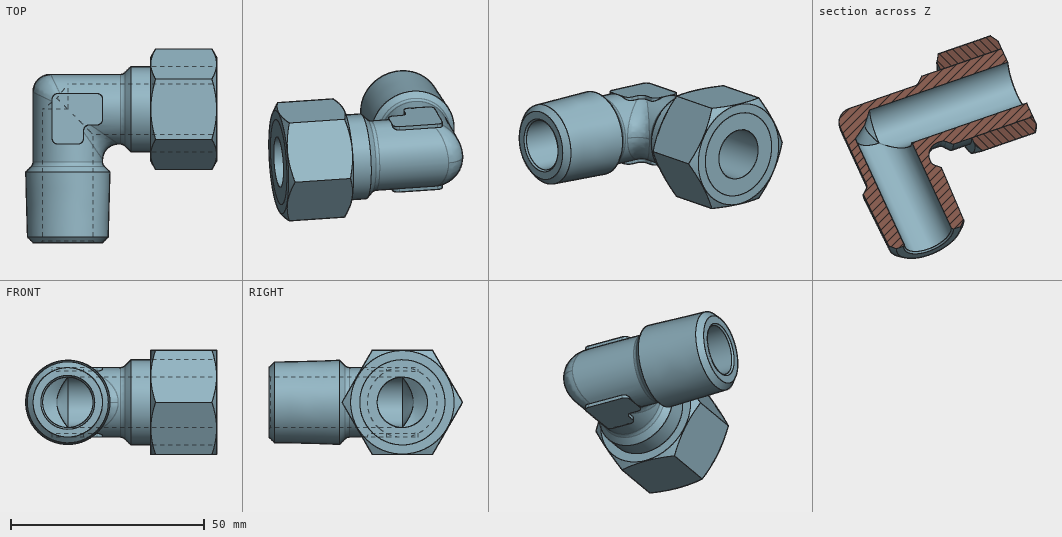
import cadquery as cq
import math


NECK_RADIUS = 9.0
OUTER_BEND_RADIUS = 4.5
INNER_BEND_RADIUS = 4.0
NECK_FILLET = 1.5
LEG_OVERRUN = 1.5 * NECK_RADIUS

PAD_HALF_WIDTH = 4.05
PAD_CORNER_RADIUS = 1.5
PAD_TOP = NECK_RADIUS
PAD_BASE = math.sqrt(NECK_RADIUS**2 - PAD_HALF_WIDTH**2)

COLLAR_RADIUS = 11.0
COLLAR_START = 16.3
NUT_START = 21.4
NUT_LENGTH = 17.15
NUT_END = NUT_START + NUT_LENGTH

THREAD_START = 16.25
THREAD_START_RADIUS = 10.9
THREAD_END = 34.5
THREAD_END_RADIUS = 10.45
THREAD_CHAMFER = 1.5

BORE_RADIUS = 6.5
BORE_TIP_DEPTH = 5.0
MOUTH_CHAMFER = 0.45

ACROSS_FLATS = 27.0
ACROSS_CORNERS = ACROSS_FLATS / math.cos(math.radians(30))
NUT_FACE_RADIUS = 13.35
NUT_CHAMFER_ANGLE = 30.0


def revolve_about_x(points):
    """Solid of revolution about X from (distance along X, radius) points."""
    return cq.Workplane("XY").polyline(points).close().revolve(360, (0, 0, 0), (1, 0, 0))


def point_along_minus_y(leg):
    """Turn a leg built along +X so that it runs along -Y."""
    return leg.rotate((0, 0, 0), (0, 0, 1), -90)


def shoulder_start(shoulder_position, shoulder_radius):
    """Where a 45 degree cone rising to the shoulder leaves the neck."""
    return shoulder_position - (shoulder_radius - NECK_RADIUS)


def fillet_neck(leg, position):
    """Round the corner between the neck and the 45 degree cone that starts at the position."""
    margin = 0.05
    corner = cq.selectors.BoxSelector(
        (position - margin, -COLLAR_RADIUS, -COLLAR_RADIUS),
        (position + margin, COLLAR_RADIUS, COLLAR_RADIUS),
    )
    return leg.edges(corner).fillet(NECK_FILLET)


def make_nut_leg():
    cone_start = shoulder_start(COLLAR_START, COLLAR_RADIUS)
    leg = revolve_about_x([
        (-LEG_OVERRUN, 0),
        (-LEG_OVERRUN, NECK_RADIUS),
        (cone_start, NECK_RADIUS),
        (COLLAR_START, COLLAR_RADIUS),
        (NUT_END, COLLAR_RADIUS),
        (NUT_END, 0),
    ])
    return fillet_neck(leg, cone_start)


def make_threaded_leg():
    cone_start = shoulder_start(THREAD_START, THREAD_START_RADIUS)
    leg = revolve_about_x([
        (-LEG_OVERRUN, 0),
        (-LEG_OVERRUN, NECK_RADIUS),
        (cone_start, NECK_RADIUS),
        (THREAD_START, THREAD_START_RADIUS),
        (THREAD_END - THREAD_CHAMFER, THREAD_END_RADIUS),
        (THREAD_END, THREAD_END_RADIUS - THREAD_CHAMFER),
        (THREAD_END, 0),
    ])
    return point_along_minus_y(fillet_neck(leg, cone_start))


def make_mitre_half():
    """Block on the nut leg's side of the diagonal plane where the legs meet."""
    size = 2 * (NUT_END + THREAD_END)
    return cq.Workplane("XY").box(size, size, size, centered=(False, True, True)).rotate(
        (0, 0, 0), (0, 0, 1), 45
    )


def make_bend():
    """Mitred legs, flattened under the pads, with the outer and inner corners rounded."""
    mitre_half = make_mitre_half()
    legs = make_nut_leg().intersect(mitre_half).union(make_threaded_leg().cut(mitre_half))
    flat_width = 2 * (NECK_RADIUS - PAD_CORNER_RADIUS)
    flat_depth = NECK_RADIUS
    for side in (-1, 1):
        flat_centre = side * (PAD_BASE + flat_depth / 2)
        flat_cutter = cq.Workplane("XY", origin=(0, 0, flat_centre)).box(flat_width, flat_width, flat_depth)
        legs = legs.cut(flat_cutter)
    near = PAD_HALF_WIDTH
    far = COLLAR_RADIUS
    outer_corner = cq.selectors.BoxSelector((-far, near, -far), (-near, far, far))
    inner_corner = cq.selectors.BoxSelector((near, -far, -far), (far, -near, far))
    rounded_outside = legs.edges(outer_corner).fillet(OUTER_BEND_RADIUS)
    return rounded_outside.edges(inner_corner).fillet(INNER_BEND_RADIUS)


def make_pads():
    """L-shaped pads; one block through the bend forms both the top and the bottom pad."""
    return (
        cq.Workplane("XY", origin=(0, 0, -PAD_TOP))
        .moveTo(-PAD_HALF_WIDTH, PAD_HALF_WIDTH)
        .lineTo(NECK_RADIUS, PAD_HALF_WIDTH)
        .lineTo(NECK_RADIUS, -PAD_HALF_WIDTH)
        .lineTo(PAD_HALF_WIDTH, -PAD_HALF_WIDTH)
        .lineTo(PAD_HALF_WIDTH, -NECK_RADIUS)
        .lineTo(-PAD_HALF_WIDTH, -NECK_RADIUS)
        .close()
        .extrude(2 * PAD_TOP)
        .edges("|Z")
        .fillet(PAD_CORNER_RADIUS)
    )


def make_bore(end):
    """Drilled hole from the leg end to the bend, with a conical tip beyond it."""
    return revolve_about_x([
        (-BORE_TIP_DEPTH, 0),
        (0, BORE_RADIUS),
        (end, BORE_RADIUS),
        (end, 0),
    ])


def make_mouth_chamfer():
    return point_along_minus_y(revolve_about_x([
        (THREAD_END - MOUTH_CHAMFER, 0),
        (THREAD_END - MOUTH_CHAMFER, BORE_RADIUS),
        (THREAD_END, BORE_RADIUS + MOUTH_CHAMFER),
        (THREAD_END, 0),
    ]))


def make_elbow():
    body = make_bend().union(make_pads())
    nut_leg_bore = make_bore(NUT_END)
    threaded_leg_bore = point_along_minus_y(make_bore(THREAD_END))
    return body.cut(nut_leg_bore).cut(threaded_leg_bore).cut(make_mouth_chamfer())


def make_nut():
    """Hexagon nut chamfered on both faces, with two flats facing up and down."""
    hexagon = (
        cq.Workplane("YZ", origin=(NUT_START, 0, 0))
        .polygon(6, ACROSS_CORNERS)
        .extrude(NUT_LENGTH)
    )
    corner_radius = ACROSS_CORNERS / 2
    chamfer_length = (corner_radius - NUT_FACE_RADIUS) * math.tan(math.radians(NUT_CHAMFER_ANGLE))
    chamfered_envelope = revolve_about_x([
        (NUT_START, 0),
        (NUT_START, NUT_FACE_RADIUS),
        (NUT_START + chamfer_length, corner_radius),
        (NUT_END - chamfer_length, corner_radius),
        (NUT_END, NUT_FACE_RADIUS),
        (NUT_END, 0),
    ])
    collar_hole = revolve_about_x([
        (NUT_START, 0),
        (NUT_START, COLLAR_RADIUS),
        (NUT_END, COLLAR_RADIUS),
        (NUT_END, 0),
    ])
    return hexagon.intersect(chamfered_envelope).cut(collar_hole)


elbow = make_elbow()
nut = make_nut()

result = cq.Compound.makeCompound([elbow.val(), nut.val()])